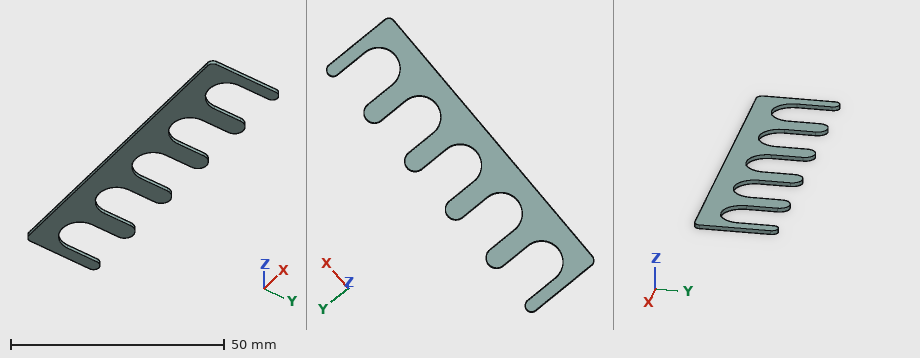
import cadquery as cq

length = 76.0
depth = 20.0
thickness = 1.0
slot_count = 5
slot_pitch = 15.0
slot_width = 10.0
slot_depth = 15.0
corner_radius = 1.5

half_length = length / 2
slot_radius = slot_width / 2
slot_floor = depth - slot_depth
slot_arc_y = slot_floor + slot_radius
first_slot_x = -slot_pitch * (slot_count - 1) / 2
slot_centers = [first_slot_x + i * slot_pitch for i in range(slot_count)]


def add_prong_tip(outline, left, right):
    """Run up a prong's left side, round its tip and stop where the tip ends on the right."""
    radius = (right - left) / 2
    tip_y = depth - radius
    return (
        outline.lineTo(left, tip_y)
        .threePointArc((left + radius, depth), (right, tip_y))
    )


def add_slot(outline, center):
    """Run down the left side of a slot and round its floor."""
    return (
        outline.lineTo(center - slot_radius, slot_arc_y)
        .threePointArc((center, slot_floor), (center + slot_radius, slot_arc_y))
    )


outline = cq.Workplane("XY").moveTo(-half_length, 0)
prong_left = -half_length
for center in slot_centers:
    outline = add_prong_tip(outline, prong_left, center - slot_radius)
    outline = add_slot(outline, center)
    prong_left = center + slot_radius
outline = add_prong_tip(outline, prong_left, half_length)
plate = outline.lineTo(half_length, 0).close().extrude(thickness)

result = plate.faces("<Y").edges("|Z").fillet(corner_radius)